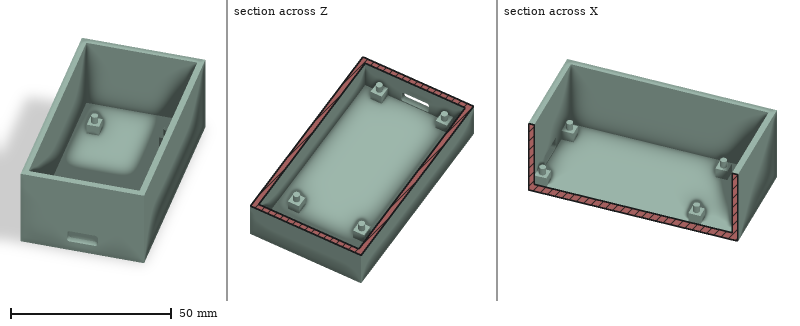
import cadquery as cq

width = 40.0
length = 70.0
height = 27.0
wall = 2.0
floor = 3.0

post_side = 4.0
post_height = 3.5
pin_diameter = 2.2
pin_height = 2.5
post_spacing_x = 23.45
post_spacing_y = 51.4

slot_width = 10.1
slot_height = 4.05
slot_bottom = 3.4
slot_radius = 1.0

front_inner_face = -length / 2 + wall
front_post_y = front_inner_face + post_side / 2
back_post_y = front_post_y + post_spacing_y


def make_box():
    outer = cq.Workplane("XY").box(width, length, height, centered=(True, True, False))
    cavity = (
        cq.Workplane("XY")
        .workplane(offset=floor)
        .rect(width - 2 * wall, length - 2 * wall)
        .extrude(height - floor)
    )
    return outer.cut(cavity)


def make_standoff(x, y):
    post = cq.Workplane("XY").center(x, y).rect(post_side, post_side).extrude(floor + post_height)
    return post.faces(">Z").workplane().circle(pin_diameter / 2).extrude(pin_height)


def make_slot():
    return (
        cq.Workplane("XY")
        .box(slot_width, wall, slot_height)
        .edges("|Y")
        .fillet(slot_radius)
        .translate((0, -length / 2 + wall / 2, slot_bottom + slot_height / 2))
    )


result = make_box()
for post_x in (-post_spacing_x / 2, post_spacing_x / 2):
    for post_y in (front_post_y, back_post_y):
        result = result.union(make_standoff(post_x, post_y))
result = result.cut(make_slot())